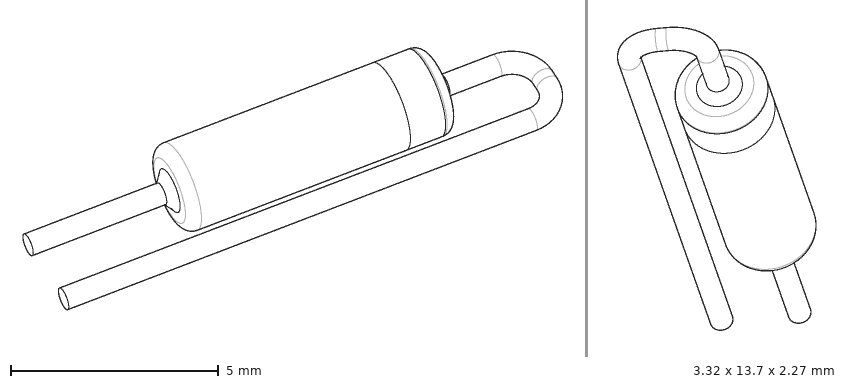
import cadquery as cq

TOTAL_LENGTH = 13.73

LEAD_RADIUS = 0.281
LEAD_PITCH = 1.91
BEND_RADIUS = 0.82

BODY_RADIUS = 1.133
BODY_START = 3.82
BODY_LENGTH = 7.2
BODY_END = BODY_START + BODY_LENGTH
END_ROUNDING = 0.29
NECK_HEIGHT = 0.22
NECK_BASE_RADIUS = 2 * LEAD_RADIUS

BAND_END = 10.68
BAND_WIDTH = 0.95
BAND_DEPTH = 0.05

FRONT_LEAD_END = BODY_START - NECK_HEIGHT
REAR_LEAD_START = BODY_END + NECK_HEIGHT
BEND_CROWN = TOTAL_LENGTH - LEAD_RADIUS
BEND_START = BEND_CROWN - BEND_RADIUS


def cylinder_along_y(radius, start, length):
    """Solid cylinder on the Y axis, growing toward +Y from start."""
    plane = cq.Plane(origin=(0, start, 0), xDir=(1, 0, 0), normal=(0, 1, 0))
    return cq.Workplane(plane).circle(radius).extrude(length)


def make_band():
    """Thin ring around the rear end of the glass body."""
    start = BAND_END - BAND_WIDTH
    outer = cylinder_along_y(BODY_RADIUS, start, BAND_WIDTH)
    inner = cylinder_along_y(BODY_RADIUS - BAND_DEPTH, start, BAND_WIDTH)
    return outer.cut(inner)


def make_body(band):
    """Revolved glass body with rounded ends, conical necks and a groove for the band."""
    flat_radius = BODY_RADIUS - END_ROUNDING
    profile = (
        cq.Workplane("XY")
        .moveTo(0, FRONT_LEAD_END)
        .lineTo(LEAD_RADIUS, FRONT_LEAD_END)
        .lineTo(NECK_BASE_RADIUS, BODY_START)
        .lineTo(flat_radius, BODY_START)
        .radiusArc((BODY_RADIUS, BODY_START + END_ROUNDING), -END_ROUNDING)
        .lineTo(BODY_RADIUS, BODY_END - END_ROUNDING)
        .radiusArc((flat_radius, BODY_END), -END_ROUNDING)
        .lineTo(NECK_BASE_RADIUS, BODY_END)
        .lineTo(LEAD_RADIUS, REAR_LEAD_START)
        .lineTo(0, REAR_LEAD_START)
        .close()
    )
    return profile.revolve(360, (0, 0, 0), (0, 1, 0)).cut(band)


def make_straight_lead():
    """Straight wire in front of the body."""
    return cylinder_along_y(LEAD_RADIUS, 0, FRONT_LEAD_END)


def make_bent_lead():
    """Wire that leaves the rear neck, turns back and runs parallel to the body."""
    path = (
        cq.Workplane("XY")
        .moveTo(0, REAR_LEAD_START)
        .lineTo(0, BEND_START)
        .radiusArc((BEND_RADIUS, BEND_CROWN), BEND_RADIUS)
        .lineTo(LEAD_PITCH - BEND_RADIUS, BEND_CROWN)
        .radiusArc((LEAD_PITCH, BEND_START), BEND_RADIUS)
        .lineTo(LEAD_PITCH, 0)
    )
    section = cq.Plane(origin=(0, REAR_LEAD_START, 0), xDir=(1, 0, 0), normal=(0, 1, 0))
    return cq.Workplane(section).circle(LEAD_RADIUS).sweep(path)


band = make_band()
body = make_body(band)
straight_lead = make_straight_lead()
bent_lead = make_bent_lead()

result = cq.Compound.makeCompound([body.val(), band.val(), straight_lead.val(), bent_lead.val()])